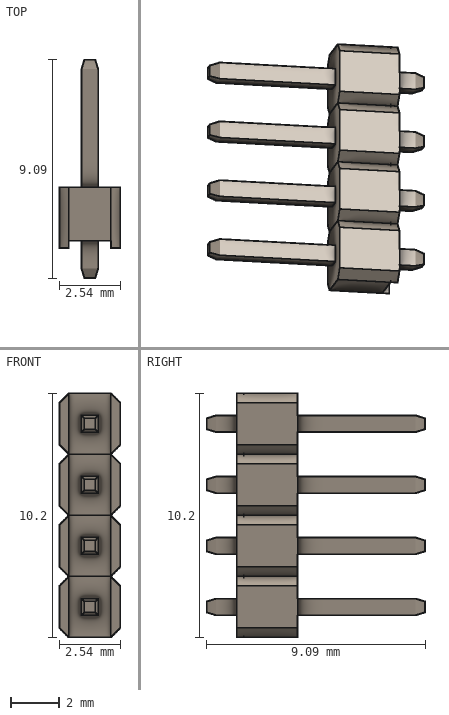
import cadquery as cq

module_count = 4
pitch = 2.54
row_bottom = -module_count * pitch / 2

block_width = pitch
block_depth = 2.54
corner_chamfer = 0.4
channel_width = block_width - 2 * corner_chamfer
channel_depth = 0.3

pin_side = 0.7
front_length = 1.25
rear_length = 5.3
pin_length = front_length + block_depth + rear_length
tip_length = 0.4
tip_side = 0.46


def make_block():
    """Block octagonal in XZ, front face at Y = 0, with a full-height channel in that face."""
    block = (
        cq.Workplane("XY")
        .box(block_width, block_depth, pitch, centered=(True, False, True))
        .edges("|Y")
        .chamfer(corner_chamfer)
    )
    channel = cq.Workplane("XY").box(channel_width, channel_depth, pitch, centered=(True, False, True))
    return block.cut(channel)


def make_tip(base_y, direction):
    """Tapered pin end, starting at base_y and narrowing along +Y or -Y."""
    base_plane = cq.Plane(origin=(0, base_y, 0), xDir=(1, 0, 0), normal=(0, direction, 0))
    return (
        cq.Workplane(base_plane)
        .rect(pin_side, pin_side)
        .workplane(offset=tip_length)
        .rect(tip_side, tip_side)
        .loft(ruled=True)
    )


def make_pin():
    """Square shank with a tapered tip at each end."""
    shank_start = tip_length - front_length
    shank_length = pin_length - 2 * tip_length
    shank = (
        cq.Workplane("XY")
        .box(pin_side, shank_length, pin_side, centered=(True, False, True))
        .translate((0, shank_start, 0))
    )
    front_tip = make_tip(shank_start, -1)
    rear_tip = make_tip(shank_start + shank_length, 1)
    return shank.union(front_tip).union(rear_tip)


def make_module():
    """One contact module: the block and its pin as a single solid."""
    return make_block().union(make_pin())


modules = []
for index in range(module_count):
    center_z = row_bottom + (index + 0.5) * pitch
    modules.append(make_module().translate((0, 0, center_z)).solids().val())

result = cq.Compound.makeCompound(modules)